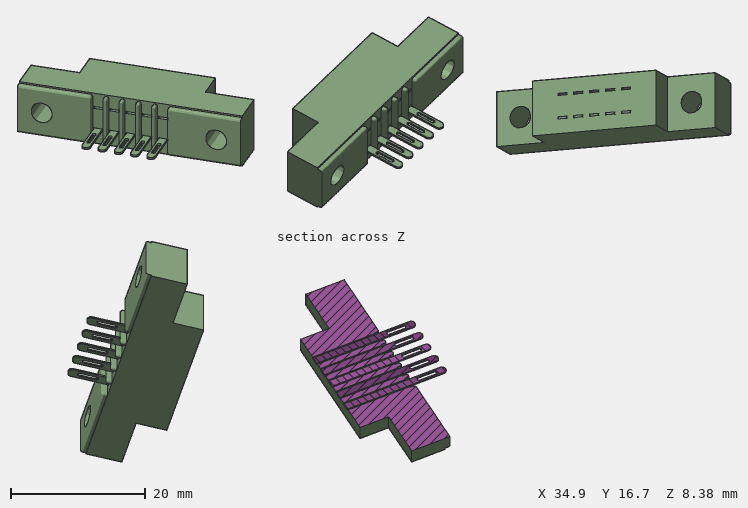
import cadquery as cq


length = 34.92
height = 8.38
flange_depth = 5.56
nose_length = 19.69
nose_depth = 4.75
depth = flange_depth + nose_depth

mount_spacing = 27.33
mount_diameter = 3.25

relief_height = 0.86
relief_inset = 0.25
relief_span = height - 2 * relief_inset
pad_gap = 11.86
pad_length = (length - pad_gap) / 2
rib_width = 0.76
rib_radius = rib_width / 2
pad_fillet = 0.42

contact_count = 5
pitch = 2.54
row_offset = 1.79
contact_width = 1.28
slot_width = 1.44
contact_thickness = 0.32
total_depth = 16.69
tail_length = total_depth - depth
eye_width = 0.54
eye_length = 3.17
eye_start = 1.68

contact_xs = [(i - (contact_count - 1) / 2) * pitch for i in range(contact_count)]
rib_xs = [x + pitch / 2 for x in contact_xs[:-1]]


def box_from(x_min, y_min, z_min, x_size, y_size, z_size):
    """Box given by its lowest corner and its sizes."""
    box = cq.Workplane("XY").box(x_size, y_size, z_size, centered=False)
    return box.translate((x_min, y_min, z_min))


def make_pad():
    """Left-hand raised pad, rounded on every exposed edge except at the outer end."""
    pad = box_from(
        -length / 2, -relief_height, -relief_span / 2,
        pad_length, relief_height, relief_span,
    )
    pad = pad.edges(">X and |Y").fillet(pad_fillet)
    return pad.faces("<Y").edges("not <X").fillet(pad_fillet)


def make_rib(x):
    """Upright rib with a half-round front and spherical ends."""
    base_height = relief_height - rib_radius
    half_core = relief_span / 2 - rib_radius
    base = cq.Workplane("XZ").slot2D(relief_span, rib_width, 90).extrude(base_height)
    crest = cq.Workplane("XY").circle(rib_radius).extrude(2 * half_core).translate((0, 0, -half_core))
    for z in (-half_core, half_core):
        crest = crest.union(cq.Workplane("XY").sphere(rib_radius).translate((0, 0, z)))
    return base.union(crest.translate((0, -base_height, 0))).translate((x, 0, 0))


def make_contact_slot(x, z):
    """Rectangular slot running through the whole depth of the housing."""
    return box_from(
        x - slot_width / 2, 0, z - contact_thickness / 2,
        slot_width, depth, contact_thickness,
    )


def make_housing():
    """Stepped block with its front relief, mounting holes and two rows of contact slots."""
    ears = box_from(-length / 2, 0, -height / 2, length, flange_depth, height)
    nose = box_from(-nose_length / 2, flange_depth, -height / 2, nose_length, nose_depth, height)
    housing = ears.union(nose)

    pad = make_pad()
    housing = housing.union(pad).union(pad.mirror("YZ"))
    for x in rib_xs:
        housing = housing.union(make_rib(x))

    mount_holes = (
        cq.Workplane("XZ", origin=(0, flange_depth, 0))
        .pushPoints([(-mount_spacing / 2, 0), (mount_spacing / 2, 0)])
        .circle(mount_diameter / 2)
        .extrude(flange_depth + relief_height)
    )
    housing = housing.cut(mount_holes)

    for x in contact_xs:
        for z in (-row_offset, row_offset):
            housing = housing.cut(make_contact_slot(x, z))
    return housing


def make_contact(x):
    """Flat contact filling the depth of its lower-row slot, with a round-ended tail and a solder eye."""
    half_width = contact_width / 2
    blade = (
        cq.Workplane("XY")
        .moveTo(-half_width, depth)
        .lineTo(-half_width, half_width - tail_length)
        .threePointArc((0, -tail_length), (half_width, half_width - tail_length))
        .lineTo(half_width, depth)
        .close()
        .extrude(contact_thickness)
    )
    eye = (
        cq.Workplane("XY")
        .center(0, -eye_start - eye_length / 2)
        .slot2D(eye_length, eye_width, 90)
        .extrude(contact_thickness)
    )
    return blade.cut(eye).translate((x, 0, -row_offset - contact_thickness / 2))


housing = make_housing()
contacts = [make_contact(x) for x in contact_xs]

result = cq.Compound.makeCompound([housing.val(), *[contact.val() for contact in contacts]])